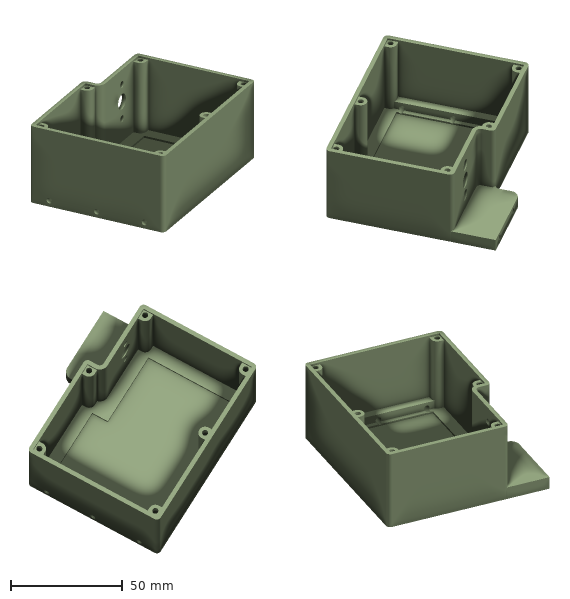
import cadquery as cq

width = 80.0
length = 88.0
height = 38.0

wall = 2.0
floor = 2.0
corner_radius = 2.0
box_left = 12.0
step_left = 20.0
step_y = 52.0

recess_margin = 6.0
recess_depth = 1.0

flange_height = 6.0
flange_corner_radius = 4.0
rail_depth = 6.0

post_radius = 3.0
post_hole_diameter = 2.7
post_inset = 4.0
post_drop = 1.0

mount_hole_diameter = 2.7
mount_hole_z = flange_height / 2
front_hole_center_x = (box_left + width) / 2
front_hole_spacing = 24.0
flange_hole_inset = 6.0
flange_hole_spacing = 20.0
flange_hole_depth = 10.0

side_holes_y = (step_y + length) / 2
side_holes_z = (flange_height + height) / 2
window_diameter = 7.5
side_screw_offset = 8.5
side_screw_diameter = 3.3
side_screw_head_diameter = 5.3
countersink_angle = 90


def l_prism(inset, bottom, top):
    """Sharp-cornered prism of the box outline, with every side moved inward by inset."""
    outline = [
        (box_left + inset, inset),
        (width - inset, inset),
        (width - inset, length - inset),
        (step_left + inset, length - inset),
        (step_left + inset, step_y - inset),
        (box_left + inset, step_y - inset),
    ]
    return cq.Workplane("XY").workplane(offset=bottom).polyline(outline).close().extrude(top - bottom)


def block(x0, x1, y0, y1, bottom, top):
    return cq.Workplane("XY").box(x1 - x0, y1 - y0, top - bottom, centered=False).translate((x0, y0, bottom))


def vertical_edge_at(x, y):
    """Selector for the upright edge through the point (x, y)."""
    tolerance = 0.01
    low = (x - tolerance, y - tolerance, -tolerance)
    high = (x + tolerance, y + tolerance, height + tolerance)
    return cq.selectors.BoxSelector(low, high, boundingbox=True)


def make_shell():
    """Round-cornered walls and floor; the inside of the step bend is concentric with its outside."""
    cavity = l_prism(wall, floor, height)
    cavity = cavity.edges(vertical_edge_at(step_left + wall, step_y - wall)).fillet(corner_radius + wall)
    recess = l_prism(wall + recess_margin, floor - recess_depth, height)
    return l_prism(0, 0, height).edges("|Z").fillet(corner_radius).cut(cavity).cut(recess)


def make_flange():
    """Low plate in the step, blended into the left wall of the box by a concave corner.

    It ends inside the walls, short of the cavity.
    """
    plate = block(0, step_left + wall / 2, step_y, length, 0, flange_height)
    plate = plate.edges(vertical_edge_at(0, step_y)).fillet(flange_corner_radius)
    root = block(box_left, box_left + wall / 2, step_y - 2 * corner_radius, step_y, 0, flange_height)
    return plate.union(root).edges(vertical_edge_at(box_left, step_y)).fillet(corner_radius)


def make_rail():
    return block(box_left + wall / 2, width - wall / 2, wall / 2, rail_depth, 0, flange_height)


def post_positions():
    """Post axes with the X and Y directions towards the walls that each post joins."""
    front = post_inset
    middle = step_y - post_inset
    rear = length - post_inset
    right = width - post_inset
    return [
        (box_left + post_inset, front, -1, -1),
        (right, front, 1, -1),
        (box_left + post_inset, middle, -1, 1),
        (right, middle, 1, 0),
        (step_left + post_inset, rear, -1, 1),
        (right, rear, 1, 1),
    ]


def make_post(x, y, toward_x, toward_y):
    """Round post with flat-sided webs reaching into the adjoining walls."""
    bottom = floor / 2
    top = height - post_drop
    reach = post_inset - wall / 2
    post = cq.Workplane("XY").workplane(offset=bottom).center(x, y).circle(post_radius).extrude(top - bottom)
    end_x = x + toward_x * reach
    end_y = y + toward_y * reach
    x_web = block(min(x, end_x), max(x, end_x), y - post_radius, y + post_radius, bottom, top)
    post = post.union(x_web)
    if toward_y:
        y_web = block(x - post_radius, x + post_radius, min(y, end_y), max(y, end_y), bottom, top)
        post = post.union(y_web)
    return post.intersect(l_prism(wall / 2, 0, height))


def cylinder(diameter, start, direction, depth):
    return cq.Workplane(cq.Solid.makeCylinder(diameter / 2, depth, cq.Vector(*start), cq.Vector(*direction)))


def cut_post_holes(body):
    for x, y, _, _ in post_positions():
        body = body.cut(cylinder(post_hole_diameter, (x, y, floor), (0, 0, 1), height))
    return body


def cut_mount_holes(body):
    """Front holes run through the rail into the recess; flange holes are blind."""
    for i in (-1, 0, 1):
        start = (front_hole_center_x + i * front_hole_spacing, 0, mount_hole_z)
        body = body.cut(cylinder(mount_hole_diameter, start, (0, 1, 0), wall + recess_margin))
    for i in range(2):
        start = (0, length - flange_hole_inset - i * flange_hole_spacing, mount_hole_z)
        body = body.cut(cylinder(mount_hole_diameter, start, (1, 0, 0), flange_hole_depth))
    return body


def cut_side_holes(body):
    """Round window between two countersunk screw holes, all through the side wall."""
    face = cq.Workplane("YZ", origin=(step_left, side_holes_y, side_holes_z))
    body = body.cut(face.circle(window_diameter / 2).extrude(wall))
    drill = cq.Plane(origin=(step_left, side_holes_y, side_holes_z), xDir=(0, -1, 0), normal=(-1, 0, 0))
    return (
        cq.Workplane(drill)
        .add(body)
        .pushPoints([(0, side_screw_offset), (0, -side_screw_offset)])
        .cskHole(side_screw_diameter, side_screw_head_diameter, countersink_angle, depth=wall)
    )


body = make_shell().union(make_flange()).union(make_rail())
for position in post_positions():
    body = body.union(make_post(*position))
body = cut_post_holes(body)
body = cut_mount_holes(body)
result = cut_side_holes(body)